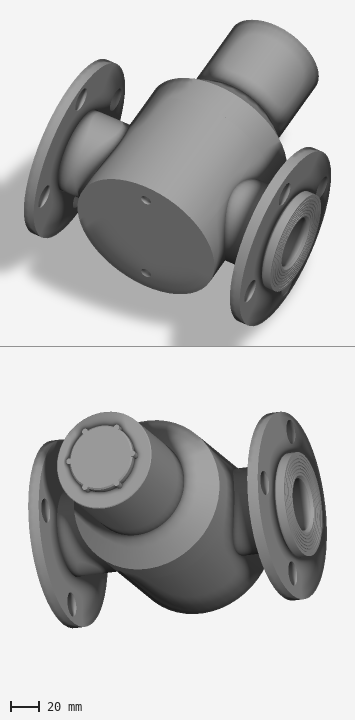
import cadquery as cq


total_length = 212.5

barrel_diameter = 109.2
barrel_front = -45.5
joint_y = 38.0
socket_floor_x = 42.5
drain_diameter = 7.9
drain_offset = 40.0
drain_depth = 10.6

band_end = 58.9
cone_end = 77.4
neck_end = 140.2
neck_diameter = 71.0
neck_chamfer = 0.53

knob_diameter = 47.2
knob_rim_chamfer = 1.0
rib_count = 6
rib_radius = 2.1
rib_circle_radius = 23.5

flange_diameter = 132.0
flange_thickness = 7.9
flange_bore = 62.0
bolt_hole_diameter = 17.0
bolt_hole_count = 4
bolt_circle_radius = 51.6
bolt_circle_y = 0.8
bolt_circle_z = 1.8
bolt_circle_turn = 2.0

face_x = 94.4
pipe_diameter = 61.0
bore_diameter = 37.0
mouth_chamfer = 1.8
collar_diameter = 73.3
collar_width = 8.3
collar_chamfer = 1.7
groove_count = 6
first_groove_diameter = 43.5
last_groove_diameter = 67.5
groove_width = 0.9
groove_depth = 0.5

collar_back = face_x - collar_width
flange_back = collar_back - flange_thickness
groove_pitch = (last_groove_diameter - first_groove_diameter) / 2 / (groove_count - 1)
knob_end = total_length - flange_diameter / 2


def cylinder_x(diameter, start, end):
    """Cylinder on the pipe axis between two X positions."""
    return cq.Workplane("YZ", origin=(start, 0, 0)).circle(diameter / 2).extrude(end - start)


def revolve_about_y(profile):
    """Solid of revolution about the barrel axis from (radius, y) points."""
    return cq.Workplane("XY").polyline(profile).close().revolve(360, (0, 0, 0), (0, 1, 0))


def on_far_side(body):
    """The same body turned half a turn about the barrel axis."""
    return body.rotate((0, 0, 0), (0, 1, 0), 180)


def make_housing():
    barrel = (
        cq.Workplane("XZ", origin=(0, joint_y, 0))
        .circle(barrel_diameter / 2)
        .extrude(joint_y - barrel_front)
    )
    socket = cylinder_x(pipe_diameter, socket_floor_x, barrel_diameter / 2)
    drains = (
        cq.Workplane("XZ", origin=(0, barrel_front, 0))
        .pushPoints([(0, drain_offset), (0, -drain_offset)])
        .circle(drain_diameter / 2)
        .extrude(-drain_depth)
    )
    return barrel.cut(socket).cut(on_far_side(socket)).cut(drains)


def make_bonnet():
    neck_radius = neck_diameter / 2
    return revolve_about_y([
        (0, joint_y),
        (barrel_diameter / 2, joint_y),
        (barrel_diameter / 2, band_end),
        (neck_radius, cone_end),
        (neck_radius, neck_end - neck_chamfer),
        (neck_radius - neck_chamfer, neck_end),
        (0, neck_end),
    ])


def make_knob():
    start = cq.Workplane("XZ", origin=(0, neck_end, 0))
    height = knob_end - neck_end
    disc = start.circle(knob_diameter / 2).extrude(-height).faces(">Y").chamfer(knob_rim_chamfer)
    ribs = start.polarArray(rib_circle_radius, 0, 360, rib_count).circle(rib_radius).extrude(-height)
    return disc.union(ribs)


def make_flange():
    """Flange on the +X side; its bolt circle is slightly off centre and turned."""
    flange = cylinder_x(flange_diameter, flange_back, collar_back)
    flange = flange.cut(cylinder_x(flange_bore, flange_back, collar_back))
    bolt_holes = (
        cq.Workplane("YZ", origin=(flange_back, bolt_circle_y, -bolt_circle_z))
        .polarArray(bolt_circle_radius, bolt_circle_turn, 360, bolt_hole_count)
        .circle(bolt_hole_diameter / 2)
        .extrude(flange_thickness)
    )
    return flange.cut(bolt_holes)


def make_stub_end():
    """Stub end on the +X side: collar, pipe, bore and face grooves."""
    collar = cylinder_x(collar_diameter, collar_back, face_x).faces("<X").chamfer(collar_chamfer)
    stub_end = collar.union(cylinder_x(pipe_diameter, socket_floor_x, face_x))
    stub_end = stub_end.cut(cylinder_x(bore_diameter, socket_floor_x, face_x))
    mouth_edge = cq.selectors.RadiusNthSelector(0)
    stub_end = stub_end.faces(">X").edges(mouth_edge).chamfer(mouth_chamfer)
    for index in range(groove_count):
        inner_radius = first_groove_diameter / 2 + index * groove_pitch
        groove = (
            cq.Workplane("YZ", origin=(face_x - groove_depth, 0, 0))
            .circle(inner_radius + groove_width)
            .circle(inner_radius)
            .extrude(groove_depth)
        )
        stub_end = stub_end.cut(groove)
    return stub_end


housing = make_housing()
bonnet = make_bonnet()
knob = make_knob()
flange = make_flange()
stub_end = make_stub_end()
flanges = [flange, on_far_side(flange)]
stub_ends = [stub_end, on_far_side(stub_end)]
bodies = [housing, bonnet, knob, *flanges, *stub_ends]

result = cq.Compound.makeCompound([body.val() for body in bodies])